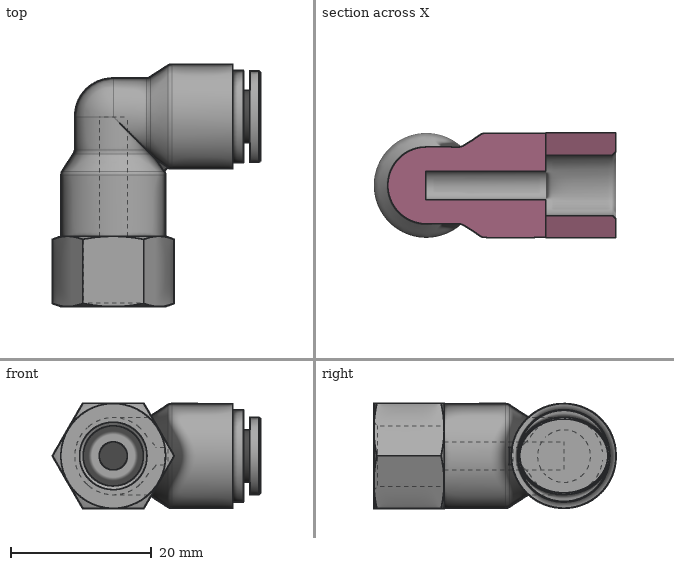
import cadquery as cq
import math


leg_length = 17.0
leg_radius = 14.9 / 2
throat_radius = 5.5
cone_start = 5.0
cone_end = 8.0
cone_blend_radius = 1.0
passage_diameter = 4.0

web_thickness = 2.5
web_corner_near = 7.0
web_corner_far = 8.0

nut_length = 10.0
nut_across_flats = 15.0
nut_across_corners = nut_across_flats / math.cos(math.pi / 6)
nut_end_radius = 14.9 / 2
nut_bevel_angle = math.radians(20)
nut_bore_radius = 8.57 / 2
nut_bore_mouth_radius = 9.6 / 2
nut_bore_chamfer = nut_bore_mouth_radius - nut_bore_radius

collar_diameter = 13.15
collar_length = 1.55
collar_edge_chamfer = 0.1

button_neck_diameter = 7.5
button_neck_length = 0.85
button_width = 13.0
button_height = 11.0
socket_reach = 20.95
button_thickness = socket_reach - leg_length - collar_length - button_neck_length
button_edge_chamfer = 0.25

x_leg_plane = cq.Plane(origin=(0, 0, 0), xDir=(0, 1, 0), normal=(1, 0, 0))
y_leg_plane = cq.Plane(origin=(0, 0, 0), xDir=(1, 0, 0), normal=(0, -1, 0))


def make_housing_leg():
    """Round leg along +X whose throat opens through a blended cone to the full radius."""
    leg = (
        cq.Workplane("XY")
        .polyline(
            [
                (0, 0),
                (0, throat_radius),
                (cone_start, throat_radius),
                (cone_end, leg_radius),
                (leg_length, leg_radius),
                (leg_length, 0),
            ]
        )
        .close()
        .revolve(360, (0, 0, 0), (1, 0, 0))
    )
    throat_middle = cone_start / 2
    barrel_middle = (cone_end + leg_length) / 2
    cone_edges = [
        edge for edge in leg.edges("%CIRCLE").vals() if throat_middle < edge.Center().x < barrel_middle
    ]
    return leg.newObject([leg.val().fillet(cone_blend_radius, cone_edges)])


def make_housing():
    """Two mitred legs with a ball corner, a web, and a passage up the threaded leg to the corner."""
    corner = cq.Workplane("XY").sphere(throat_radius)
    web = (
        cq.Workplane("XY")
        .polyline([(0, 0), (web_corner_near, -web_corner_far), (web_corner_far, -web_corner_near)])
        .close()
        .extrude(web_thickness / 2, both=True)
    )
    passage = cq.Workplane(y_leg_plane).circle(passage_diameter / 2).extrude(leg_length)
    socket_leg = make_housing_leg()
    threaded_leg = socket_leg.rotate((0, 0, 0), (0, 0, 1), -90)
    return socket_leg.union(threaded_leg).union(corner).union(web).cut(passage)


def make_nut():
    blank = (
        cq.Workplane(y_leg_plane)
        .workplane(offset=leg_length)
        .polygon(6, nut_across_corners)
        .extrude(nut_length)
    )
    corner_radius = nut_across_corners / 2
    bevel_depth = (corner_radius - nut_end_radius) * math.tan(nut_bevel_angle)
    near_end = -leg_length
    far_end = near_end - nut_length
    turned_envelope = (
        cq.Workplane("XY")
        .polyline(
            [
                (nut_bore_radius, near_end),
                (nut_end_radius, near_end),
                (corner_radius, near_end - bevel_depth),
                (corner_radius, far_end + bevel_depth),
                (nut_end_radius, far_end),
                (nut_bore_mouth_radius, far_end),
                (nut_bore_radius, far_end + nut_bore_chamfer),
            ]
        )
        .close()
        .revolve(360, (0, 0, 0), (0, 1, 0))
    )
    return blank.intersect(turned_envelope)


def make_collar():
    return (
        cq.Workplane(x_leg_plane)
        .workplane(offset=leg_length)
        .circle(collar_diameter / 2)
        .extrude(collar_length)
        .faces(">X")
        .chamfer(collar_edge_chamfer)
    )


def make_button():
    neck_start = leg_length + collar_length
    flange = (
        cq.Workplane(x_leg_plane)
        .workplane(offset=neck_start + button_neck_length)
        .ellipse(button_width / 2, button_height / 2)
        .extrude(button_thickness)
        .faces(">X")
        .chamfer(button_edge_chamfer)
    )
    neck = (
        cq.Workplane(x_leg_plane)
        .workplane(offset=neck_start)
        .circle(button_neck_diameter / 2)
        .extrude(button_neck_length)
    )
    return flange.union(neck)


housing = make_housing()
nut = make_nut()
collar = make_collar()
button = make_button()

result = cq.Compound.makeCompound([housing.val(), nut.val(), collar.val(), button.val()])